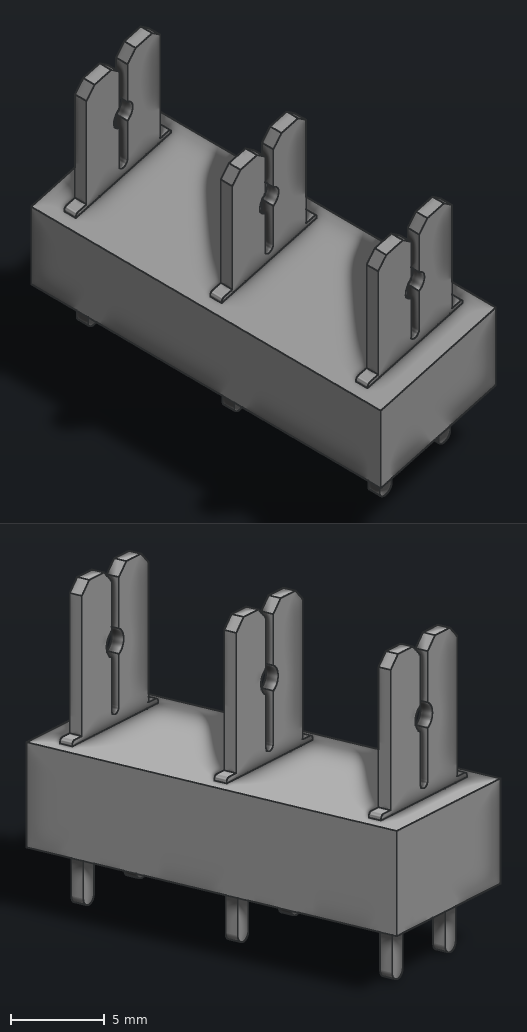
import cadquery as cq

housing_length = 24.0
housing_width = 9.8
housing_height = 6.0

contact_count = 3
contact_pitch = 10.0
contact_thickness = 0.8

foot_width = 8.1
foot_height = 0.3
foot_corner_radius = 0.25

blade_width = 6.3
blade_height = 9.0
blade_slot_width = 0.7
blade_slot_bottom = 0.6
blade_chamfer = 0.7
blade_hole_diameter = 1.6
blade_hole_height = 4.65

leg_width = 1.0
leg_spacing = 5.0
leg_projection = 3.5

contact_positions = [
    (index - (contact_count - 1) / 2) * contact_pitch for index in range(contact_count)
]
leg_positions = [-leg_spacing / 2, leg_spacing / 2]


def plate_box(width, bottom, top, y_center=0.0):
    """Block of contact thickness, centred on X = 0, spanning bottom to top in Z."""
    return (
        cq.Workplane("XY", origin=(0, y_center, bottom))
        .box(contact_thickness, width, top - bottom, centered=(True, True, False))
    )


def cross_cylinder(diameter, height, y_center=0.0):
    """Cylinder along X through the contact thickness, with its axis at the given height."""
    return (
        cq.Workplane("YZ", origin=(-contact_thickness / 2, y_center, height))
        .circle(diameter / 2)
        .extrude(contact_thickness)
    )


def make_foot():
    """Low bar across the contact with rounded upper corners."""
    foot = plate_box(foot_width, housing_height, housing_height + foot_height)
    return foot.edges("|X and >Z").fillet(foot_corner_radius)


def make_blade():
    """Two chamfered prongs parted by a round-bottomed slot with a wider round hole."""
    blade_top = housing_height + blade_height
    slot_end_center = housing_height + blade_slot_bottom + blade_slot_width / 2
    blade = plate_box(blade_width, housing_height, blade_top)
    blade = blade.cut(plate_box(blade_slot_width, slot_end_center, blade_top))
    blade = blade.edges("|X and >Z").chamfer(blade_chamfer)
    blade = blade.cut(cross_cylinder(blade_slot_width, slot_end_center))
    return blade.cut(cross_cylinder(blade_hole_diameter, housing_height + blade_hole_height))


def make_leg(y_center):
    """Straight leg from the housing top down to a fully rounded tip below the housing."""
    tip_center = leg_width / 2 - leg_projection
    shank = plate_box(leg_width, tip_center, housing_height, y_center)
    return shank.union(cross_cylinder(leg_width, tip_center, y_center))


def make_contact(x_center):
    """One-piece contact: foot, blade and two legs, moved to its place in the row."""
    contact = make_foot().union(make_blade())
    for y_center in leg_positions:
        contact = contact.union(make_leg(y_center))
    return contact.translate((x_center, 0, 0))


def make_housing():
    """Block with a matching rectangular passage for every contact leg."""
    housing = cq.Workplane("XY").box(
        housing_length, housing_width, housing_height, centered=(True, True, False)
    )
    for x_center in contact_positions:
        for y_center in leg_positions:
            passage = plate_box(leg_width, 0, housing_height, y_center)
            housing = housing.cut(passage.translate((x_center, 0, 0)))
    return housing


housing = make_housing()
contacts = [make_contact(x_center) for x_center in contact_positions]

result = cq.Compound.makeCompound([housing.val(), *[contact.val() for contact in contacts]])